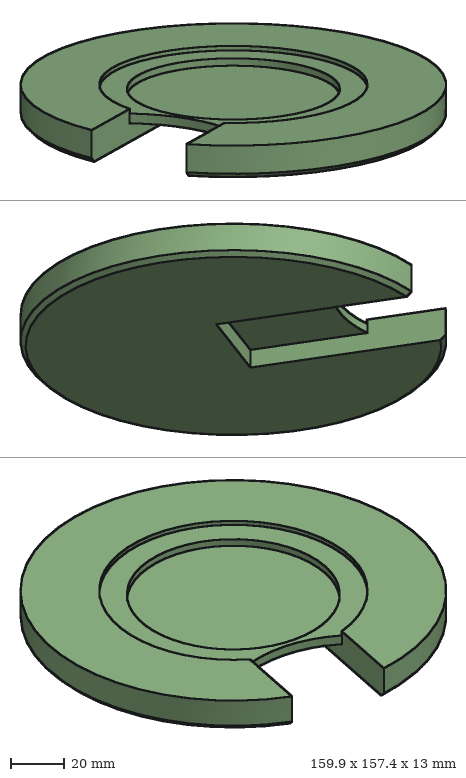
import cadquery as cq
import math

disc_diameter = 159.9
thickness = 13.0
bottom_chamfer = 1.9
seat_diameter = 100.7
seat_depth = 1.8
pocket_diameter = 80.0
pocket_depth = 2.9
slot_width = 40.0
slot_end_radius = 50.4
slot_end_distance = 42.2
channel_height = 7.4

disc_radius = disc_diameter / 2


def recess(diameter, top, depth):
    """Round cutter reaching down by depth from the height top."""
    return cq.Workplane("XY").workplane(offset=top - depth).circle(diameter / 2).extrude(depth)


def edge_slot():
    """Slot through the -Y rim whose inner end is an arc bulging toward the centre."""
    half_width = slot_width / 2
    arc_rise = slot_end_radius - math.sqrt(slot_end_radius**2 - half_width**2)
    corner_y = -slot_end_distance - arc_rise
    return (
        cq.Workplane("XY")
        .moveTo(-half_width, -disc_radius)
        .lineTo(-half_width, corner_y)
        .threePointArc((0, -slot_end_distance), (half_width, corner_y))
        .lineTo(half_width, -disc_radius)
        .close()
        .extrude(thickness)
    )


def underside_channel():
    """Channel in the underside, as wide as the slot, with a flat end at the disc centre."""
    return (
        cq.Workplane("XY")
        .rect(slot_width, disc_radius)
        .extrude(channel_height)
        .translate((0, -disc_radius / 2, 0))
    )


disc = cq.Workplane("XY").circle(disc_radius).extrude(thickness)
disc = disc.faces("<Z").edges().chamfer(bottom_chamfer)

disc = disc.cut(recess(seat_diameter, thickness, seat_depth))
disc = disc.cut(recess(pocket_diameter, thickness - seat_depth, pocket_depth))

disc = disc.cut(edge_slot())
result = disc.cut(underside_channel())